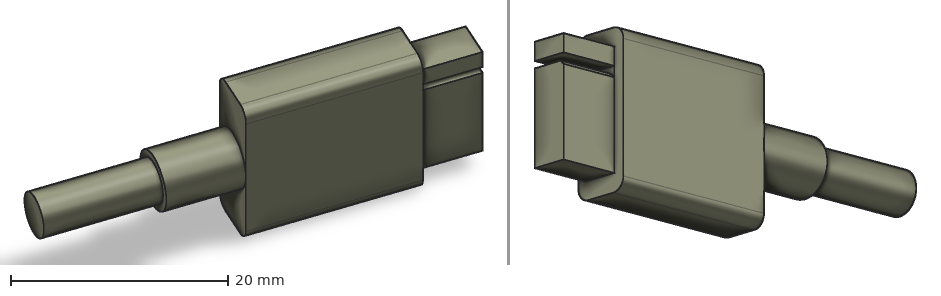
import cadquery as cq

overall_length = 44.2
cable_diameter = 4.5
cable_length = 12.0
sleeve_diameter = 6.0
sleeve_length = 8.0
housing_width = 6.05
housing_length = 17.8
housing_height = 15.85
housing_corner_radius = 1.33

plug_width = 3.9
plug_height = 12.15
plug_offset_x = 0.15
plug_seat_depth = 2.65
slot_height = 0.7
upper_blade_height = 1.85
slot_chamfer_width = 0.4
slot_chamfer_height = 0.4

plug_reach = overall_length - cable_length - sleeve_length - housing_length
plug_left = plug_offset_x - plug_width / 2
plug_right = plug_offset_x + plug_width / 2
slot_top = plug_height / 2 - upper_blade_height
slot_bottom = slot_top - slot_height


def plug_blank():
    """Rectangular block from the bottom of the housing recess to the plug tip."""
    return cq.Workplane("XY").box(
        plug_width, plug_seat_depth + plug_reach, plug_height, centered=(True, False, True)
    ).translate((plug_offset_x, housing_length - plug_seat_depth, 0))


def make_housing():
    """Rounded housing with the strain-relief sleeve and cable, recessed for the plug."""
    block = (
        cq.Workplane("XY")
        .box(housing_width, housing_length, housing_height, centered=(True, False, True))
        .edges("|Y")
        .fillet(housing_corner_radius)
    )
    sleeve = cq.Workplane("XZ").circle(sleeve_diameter / 2).extrude(sleeve_length)
    cable = (
        cq.Workplane("XZ", origin=(0, -sleeve_length, 0))
        .circle(cable_diameter / 2)
        .extrude(cable_length)
    )
    return block.union(sleeve).union(cable).cut(plug_blank())


def make_plug():
    """Plug split into two blades by a slot whose lower -X edge is chamfered."""
    slot = (
        cq.Workplane("XZ", origin=(0, housing_length, 0))
        .moveTo(plug_left, slot_top)
        .lineTo(plug_right, slot_top)
        .lineTo(plug_right, slot_bottom)
        .lineTo(plug_left + slot_chamfer_width, slot_bottom)
        .lineTo(plug_left, slot_bottom - slot_chamfer_height)
        .close()
        .extrude(-plug_reach)
    )
    return plug_blank().cut(slot)


housing = make_housing()
plug = make_plug()

result = cq.Compound.makeCompound([housing.val(), plug.val()])